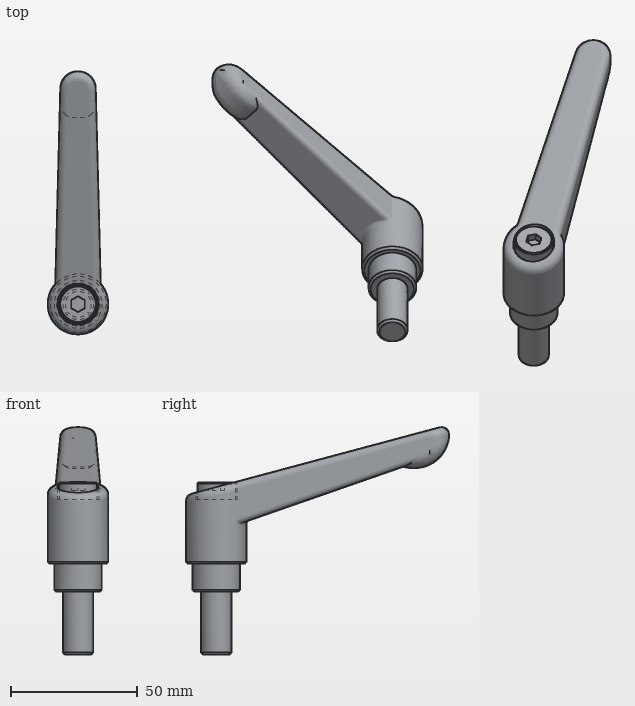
import cadquery as cq
import math

total_length = 104.0
hub_diameter = 24.0
hub_radius = hub_diameter / 2
tip_y = total_length - hub_radius

stud_radius = 6.0
stud_length = 24.9
stud_chamfer = 0.9
collar_radius = 9.5
collar_height = 11.0
collar_chamfer = 0.9
hub_bottom = stud_length + collar_height

top_angle = 15.0
top_height_at_axis = 66.2
hub_chamfer = 0.9
arm_root_half_width = 9.0
arm_root_y = math.sqrt(hub_radius**2 - arm_root_half_width**2)
arm_tip_radius = 7.1
top_fillet = 3.0
neck_fillet = 1.0
under_fillet = 2.1
bulge_fillet = 4.7

selection_margin = 1.0

arm_under_angle = 19.2
bulge_start = (73.8, 74.2)
bulge_middle = (84.2, 75.1)
bulge_end = (tip_y, 85.8)

head_radius = 7.5
head_top = 68.1
head_chamfer = 0.5
recess_radius = 8.1
recess_floor = 61.4
hex_across_flats = 5.4
hex_depth = 3.1


def top_height(y):
    """Height of the sloping top face at a given y."""
    return top_height_at_axis + y * math.tan(math.radians(top_angle))


def make_insert():
    stud = cq.Workplane("XY").circle(stud_radius).extrude(hub_bottom)
    stud = stud.faces("<Z").chamfer(stud_chamfer)
    collar = cq.Workplane("XY").workplane(offset=stud_length).circle(collar_radius).extrude(collar_height)
    collar = collar.faces("<Z").chamfer(collar_chamfer)
    return stud.union(collar)


def make_plan():
    """Tapered arm outline with a round tip, taller than the lever."""
    tip_centre_y = tip_y - arm_tip_radius
    run = tip_centre_y - arm_root_y
    root_distance = math.hypot(run, arm_root_half_width)
    taper = math.atan2(arm_root_half_width, run) - math.asin(arm_tip_radius / root_distance)
    tangent_x = arm_tip_radius * math.cos(taper)
    tangent_y = tip_centre_y + arm_tip_radius * math.sin(taper)
    return (
        cq.Workplane("XY")
        .moveTo(0, 0)
        .lineTo(-arm_root_half_width, arm_root_y)
        .lineTo(-tangent_x, tangent_y)
        .threePointArc((0, tip_y), (tangent_x, tangent_y))
        .lineTo(arm_root_half_width, arm_root_y)
        .close()
        .extrude(top_height(tip_y))
    )


def under_height(y):
    """Height of the straight underside of the arm at a given y."""
    return bulge_start[1] + (y - bulge_start[0]) * math.tan(math.radians(arm_under_angle))


def make_arm():
    """Straight bar, ending inside the finger bulge, with rounded lower edges."""
    end_y = bulge_middle[0]
    profile = (
        cq.Workplane("YZ")
        .moveTo(0, top_height(0))
        .lineTo(0, under_height(0))
        .lineTo(end_y, under_height(end_y))
        .lineTo(end_y, top_height(end_y))
        .close()
        .extrude(hub_radius, both=True)
    )
    arm = make_plan().intersect(profile)
    long_edges = cq.selectors.BoxSelector(
        (-hub_radius, arm_root_y, under_height(arm_root_y)),
        (hub_radius, end_y - selection_margin, under_height(end_y)),
    )
    return arm.edges("not |Z").edges("not |X").edges(long_edges).fillet(under_fillet)


def make_bulge():
    """Rounded finger bulge that closes the outer end of the arm."""
    profile = (
        cq.Workplane("YZ")
        .moveTo(bulge_start[0], top_height(bulge_start[0]))
        .lineTo(*bulge_start)
        .threePointArc(bulge_middle, bulge_end)
        .lineTo(tip_y, top_height(tip_y))
        .close()
        .extrude(hub_radius, both=True)
    )
    bulge = make_plan().intersect(profile)
    lower_edges = cq.selectors.BoxSelector(
        (-hub_radius, bulge_start[0], 0), (hub_radius, tip_y, bulge_end[1])
    )
    return bulge.edges("not |Z").edges("not |X").edges(lower_edges).fillet(bulge_fillet)


def make_hub():
    blank_height = top_height(hub_radius) - hub_bottom
    hub = cq.Workplane("XY").workplane(offset=hub_bottom).circle(hub_radius).extrude(blank_height)
    hub = hub.faces("<Z").chamfer(hub_chamfer)
    below_top = (
        cq.Workplane("YZ")
        .moveTo(-hub_radius, 0)
        .lineTo(hub_radius, 0)
        .lineTo(hub_radius, top_height(hub_radius))
        .lineTo(-hub_radius, top_height(-hub_radius))
        .close()
        .extrude(hub_radius, both=True)
    )
    return hub.intersect(below_top)


def make_lever():
    lever = make_hub().union(make_arm()).union(make_bulge()).clean()
    neck_zone = cq.selectors.BoxSelector(
        (-hub_radius, arm_root_y - selection_margin, 0),
        (hub_radius, arm_root_y + selection_margin, top_height(tip_y)),
    )
    lever = lever.edges("|Z").edges(neck_zone).fillet(neck_fillet)
    tilt = math.radians(top_angle)
    top_normal = cq.Vector(0, -math.sin(tilt), math.cos(tilt))
    lever = lever.faces(cq.selectors.DirectionMinMaxSelector(top_normal, True)).edges().fillet(top_fillet)
    recess = cq.Workplane("XY").workplane(offset=recess_floor).circle(recess_radius).extrude(total_length)
    return lever.cut(recess)


def make_screw():
    head_height = head_top - recess_floor
    head = cq.Workplane("XY").workplane(offset=recess_floor).circle(head_radius).extrude(head_height)
    head = head.faces(">Z").chamfer(head_chamfer)
    hex_across_corners = hex_across_flats / math.cos(math.pi / 6)
    socket = (
        cq.Workplane("XY")
        .workplane(offset=head_top - hex_depth)
        .transformed(rotate=(0, 0, 90))
        .polygon(6, hex_across_corners)
        .extrude(hex_depth)
    )
    return head.cut(socket)


insert = make_insert()
lever = make_lever()
screw = make_screw()

result = cq.Compound.makeCompound([insert.val(), lever.val(), screw.val()])